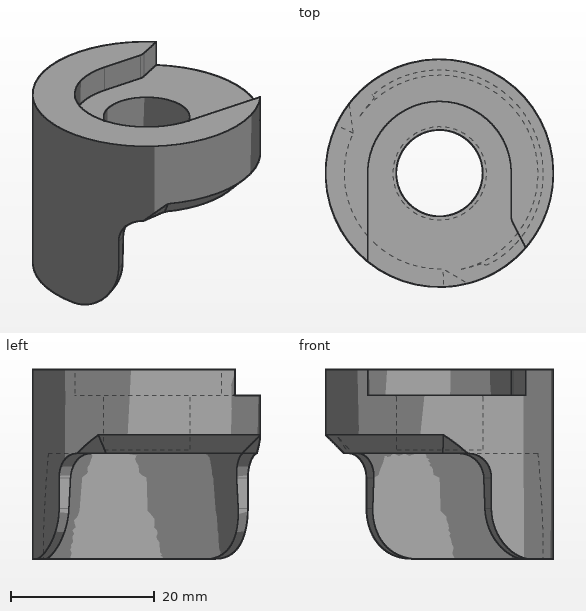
import cadquery as cq
import math

outer_radius = 15.88
height = 26.42
bore_radius = 6.0
bore_chamfer = 0.5

slot_radius = 10.0
slot_depth = 3.62
flare_start_y = -6.5
flare_angle = 27.5
flare_blend = 1.6

head_underside_z = 14.7
skirt_inner_radius = 14.4
hollow_top_radius = 13.7

opening_direction = 213.5
opening_offset = 1.78
skirt_foot_radius = 7.08
skirt_root_radius = 3.4

bevel = 2.57
bevel_end_angle = 58.5
overlap = 3.18


def key_slot():
    reach = outer_radius + overlap
    flare_run = flare_start_y + reach
    flare_x = slot_radius + flare_run * math.tan(math.radians(flare_angle))
    slot = (
        cq.Workplane("XY", origin=(0, 0, height - slot_depth))
        .moveTo(-slot_radius, 0)
        .threePointArc((0, slot_radius), (slot_radius, 0))
        .lineTo(slot_radius, flare_start_y)
        .lineTo(flare_x, -reach)
        .lineTo(-slot_radius, -reach)
        .close()
        .extrude(slot_depth)
    )
    corner = cq.selectors.NearestToPointSelector((slot_radius, flare_start_y, height - slot_depth / 2))
    return slot.edges("|Z").edges(corner).fillet(flare_blend)


def bore():
    """Through bore with a chamfer at the underside of the head."""
    through = cq.Workplane("XY").circle(bore_radius).extrude(height)
    chamfer = cq.Solid.makeCone(
        bore_radius + bore_chamfer,
        bore_radius,
        bore_chamfer,
        pnt=cq.Vector(0, 0, head_underside_z),
    )
    return through.union(cq.Workplane(chamfer))


def hollow():
    """Round hollow, its wall upright at the foot and curving inwards to the head."""
    narrowing = skirt_inner_radius - hollow_top_radius
    wall_radius = (head_underside_z**2 + narrowing**2) / (2 * narrowing)
    mid_z = head_underside_z / 2
    wall_centre_x = skirt_inner_radius - wall_radius
    wall_mid = (wall_centre_x + math.sqrt(wall_radius**2 - mid_z**2), mid_z)
    return (
        cq.Workplane("XZ")
        .lineTo(skirt_inner_radius, 0)
        .threePointArc(wall_mid, (hollow_top_radius, head_underside_z))
        .lineTo(0, head_underside_z)
        .close()
        .revolve(360, (0, 0, 0), (0, 1, 0))
    )


def side_opening():
    """Opening facing +X, with a rounded skirt foot and root."""
    foot_x = opening_offset - skirt_foot_radius
    root_x = opening_offset + skirt_root_radius
    diagonal = math.sqrt(0.5)
    foot_mid = (
        foot_x + skirt_foot_radius * diagonal,
        skirt_foot_radius * (1 - diagonal),
    )
    root_mid = (
        root_x - skirt_root_radius * diagonal,
        head_underside_z - skirt_root_radius * (1 - diagonal),
    )
    reach = outer_radius + overlap
    return (
        cq.Workplane("XZ")
        .moveTo(foot_x, 0)
        .threePointArc(foot_mid, (opening_offset, skirt_foot_radius))
        .lineTo(opening_offset, head_underside_z - skirt_root_radius)
        .threePointArc(root_mid, (root_x, head_underside_z))
        .lineTo(reach, head_underside_z)
        .lineTo(reach, 0)
        .close()
        .extrude(reach, both=True)
    )


def rim_bevel():
    """Conical bevel centred on +X."""
    inner = outer_radius - bevel
    return (
        cq.Workplane("XZ")
        .moveTo(inner, head_underside_z)
        .lineTo(outer_radius, head_underside_z + bevel)
        .lineTo(outer_radius + overlap, head_underside_z + bevel)
        .lineTo(outer_radius + overlap, head_underside_z)
        .close()
        .revolve(2 * bevel_end_angle, (0, 0, 0), (0, 1, 0))
        .rotate((0, 0, 0), (0, 0, 1), -bevel_end_angle)
    )


def bevel_runout():
    """Wedge running the bevel out into the skirt root on the +Y side."""
    angle = math.radians(bevel_end_angle)
    along = cq.Vector(math.cos(angle), math.sin(angle), 0)
    root_x = opening_offset + skirt_root_radius
    root_y = math.sqrt(outer_radius**2 - root_x**2)
    apex = along * (outer_radius - bevel) + cq.Vector(0, 0, head_underside_z)
    rim_low = along * outer_radius + cq.Vector(0, 0, head_underside_z)
    rim_high = rim_low + cq.Vector(0, 0, bevel)
    root = cq.Vector(root_x, root_y, head_underside_z)
    stretch = 1.2
    corners = [apex + (p - apex) * stretch for p in (rim_low, rim_high, root)]
    triangles = [corners] + [[apex, corners[i], corners[i - 1]] for i in range(3)]
    faces = [cq.Face.makeFromWires(cq.Wire.makePolygon(t, close=True)) for t in triangles]
    return cq.Workplane(cq.Solid.makeSolid(cq.Shell.makeShell(faces)).fix())


def aim(cutter):
    return cutter.rotate((0, 0, 0), (0, 0, 1), opening_direction)


body = cq.Workplane("XY").circle(outer_radius).extrude(height)
runout = bevel_runout()

result = body.cut(bore()).cut(hollow()).cut(key_slot())
for cutter in (side_opening(), rim_bevel(), runout, runout.mirror("XZ")):
    result = result.cut(aim(cutter))